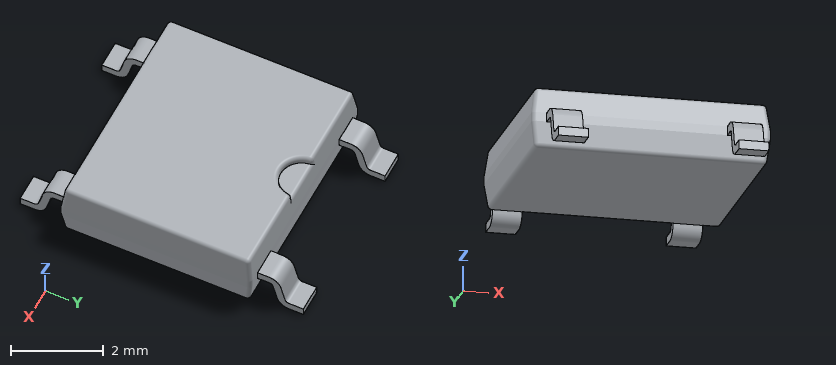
import cadquery as cq
import math

BODY_LENGTH = 5.3
BODY_WIDTH = 4.6
BODY_BOTTOM = 0.1
BODY_TOP = 1.46
DRAFT_ANGLE = 8.0
BODY_FILLET = 0.1

NOTCH_RADIUS = 0.5
NOTCH_DEPTH = 0.16
POCKET_DEPTH = 0.31

LEAD_SPAN = 6.8
LEAD_PITCH = 4.0
LEAD_WIDTH = 0.66
LEAD_THICKNESS = 0.2
LEAD_TOP = 0.86
LEAD_FOOT = 0.343
LEAD_SLOPE = 75.0
INNER_BEND = 0.1
LEAD_EMBED = 0.3

BELT_TOP = LEAD_TOP
BELT_BOTTOM = LEAD_TOP - LEAD_THICKNESS
OUTER_BEND = INNER_BEND + LEAD_THICKNESS
TOP_INSET = (BODY_TOP - BELT_TOP) * math.tan(math.radians(DRAFT_ANGLE))
NOTCH_FLOOR = BODY_TOP - NOTCH_DEPTH


def body_section(z, height, taper=0.0):
    """Rectangular block starting at z; a negative height builds downwards."""
    return (
        cq.Workplane("XY")
        .workplane(offset=z)
        .rect(BODY_LENGTH, BODY_WIDTH)
        .extrude(height, taper=taper)
    )


def sharp_body(top):
    """Body with sharp edges, drafted away from its belt and ending at the given top."""
    belt = body_section(BELT_BOTTOM, BELT_TOP - BELT_BOTTOM)
    upper = body_section(BELT_TOP, top - BELT_TOP, DRAFT_ANGLE)
    lower = body_section(BELT_BOTTOM, BODY_BOTTOM - BELT_BOTTOM, DRAFT_ANGLE)
    return belt.union(upper).union(lower)


def notch_pocket():
    """Cylinder centred on the sharp +Y top edge, reaching below the notch floor."""
    pocket = cq.Workplane("XY").circle(NOTCH_RADIUS).extrude(2 * POCKET_DEPTH)
    pocket = pocket.rotate((0, 0, 0), (0, 0, 1), 90)
    return pocket.translate((0, BODY_WIDTH / 2 - TOP_INSET, BODY_TOP - POCKET_DEPTH))


def is_upright(edge):
    """True for edges within twice the draft angle of vertical."""
    return abs(edge.tangentAt(0.5).z) > math.cos(math.radians(2 * DRAFT_ANGLE))


def round_edges(body):
    """Fillet the top and bottom rims and all the upright edges of a body."""
    rims = body.faces(">Z").edges().vals() + body.faces("<Z").edges().vals()
    uprights = [edge for edge in body.edges().vals() if is_upright(edge)]
    return body.newObject(rims + uprights).fillet(BODY_FILLET)


def make_body():
    pocketed = round_edges(sharp_body(BODY_TOP).cut(notch_pocket()))
    filler = round_edges(sharp_body(NOTCH_FLOOR))
    return pocketed.union(filler)


def bend_point(centre, radius, angle):
    """Point on a bend at the given angle in degrees, in the YZ plane."""
    turn = math.radians(angle)
    return (centre[0] + radius * math.cos(turn), centre[1] + radius * math.sin(turn))


def make_lead(x):
    """One +Y lead centred at x, drawn as a YZ outline and extruded along X."""
    slope = math.radians(LEAD_SLOPE)
    bend_drop = (INNER_BEND + OUTER_BEND) * (1 - math.cos(slope))
    slope_height = LEAD_TOP - LEAD_THICKNESS - bend_drop
    slope_run = slope_height / math.tan(slope)
    bend_run = (INNER_BEND + OUTER_BEND) * math.sin(slope)

    toe_y = LEAD_SPAN / 2
    foot_y = toe_y - LEAD_FOOT
    shoulder_y = foot_y - bend_run - slope_run
    root_y = BODY_WIDTH / 2 - LEAD_EMBED
    low = (foot_y, OUTER_BEND)
    high = (shoulder_y, LEAD_TOP - OUTER_BEND)

    slope_high = 90 - LEAD_SLOPE
    slope_low = 270 - LEAD_SLOPE
    mid_high = (90 + slope_high) / 2
    mid_low = (270 + slope_low) / 2
    outline = (
        cq.Workplane("YZ")
        .workplane(offset=x - LEAD_WIDTH / 2)
        .moveTo(root_y, LEAD_TOP)
        .lineTo(shoulder_y, LEAD_TOP)
        .threePointArc(bend_point(high, OUTER_BEND, mid_high), bend_point(high, OUTER_BEND, slope_high))
        .lineTo(*bend_point(low, INNER_BEND, slope_low))
        .threePointArc(bend_point(low, INNER_BEND, mid_low), bend_point(low, INNER_BEND, 270))
        .lineTo(toe_y, LEAD_THICKNESS)
        .lineTo(toe_y, 0)
        .lineTo(foot_y, 0)
        .threePointArc(bend_point(low, OUTER_BEND, mid_low), bend_point(low, OUTER_BEND, slope_low))
        .lineTo(*bend_point(high, INNER_BEND, slope_high))
        .threePointArc(bend_point(high, INNER_BEND, mid_high), bend_point(high, INNER_BEND, 90))
        .lineTo(root_y, BELT_BOTTOM)
        .close()
    )
    return outline.extrude(LEAD_WIDTH)


result = make_body()
for lead_x in (-LEAD_PITCH / 2, LEAD_PITCH / 2):
    lead = make_lead(lead_x)
    result = result.union(lead).union(lead.mirror("XZ"))